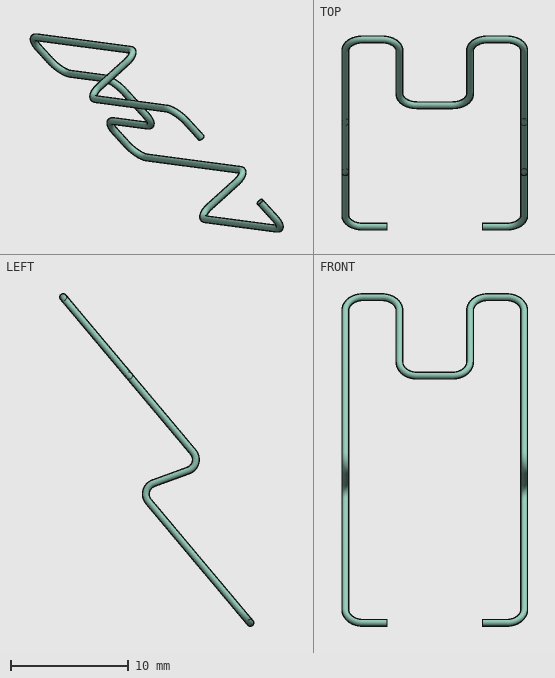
import cadquery as cq
import math

wire_diameter = 0.6
frame_bend_radius = 1.5
jog_bend_radius = 1.0

outer_width = 15.85
frame_width = outer_width - wire_diameter
foot_gap = 8.1
tongue_width = 6.0
tongue_depth = 8.73
upper_leg_length = 18.65
jog_length = 5.98
lower_leg_length = 14.9

leg_slope = math.radians(50)
jog_slope = math.radians(20)

down_leg = cq.Vector(0, -math.cos(leg_slope), -math.sin(leg_slope))
down_jog = cq.Vector(0, math.cos(jog_slope), -math.sin(jog_slope))

top = cq.Vector(0, 0, 0)
tongue_end = top + down_leg * tongue_depth
jog_top = top + down_leg * upper_leg_length
jog_bottom = jog_top + down_jog * jog_length
foot = jog_bottom + down_leg * lower_leg_length

half_corners = [
    (frame_width / 2, foot, frame_bend_radius),
    (frame_width / 2, jog_bottom, jog_bend_radius),
    (frame_width / 2, jog_top, jog_bend_radius),
    (frame_width / 2, top, frame_bend_radius),
    (tongue_width / 2, top, frame_bend_radius),
    (tongue_width / 2, tongue_end, frame_bend_radius),
]


def at_x(x, level):
    return cq.Vector(x, level.y, level.z)


def rounded_path(start, corners, end):
    """Join straight runs with tangent arcs at each (point, radius) corner."""
    points = [start] + [point for point, _ in corners] + [end]
    edges = []
    run_start = start
    for i, (corner, radius) in enumerate(corners, 1):
        back = (points[i - 1] - corner).normalized()
        ahead = (points[i + 1] - corner).normalized()
        half_angle = back.getAngle(ahead) / 2
        setback = radius / math.tan(half_angle)
        arc_start = corner + back * setback
        arc_end = corner + ahead * setback
        bisector = (back + ahead).normalized()
        arc_middle = corner + bisector * (radius / math.sin(half_angle) - radius)
        edges.append(cq.Edge.makeLine(run_start, arc_start))
        edges.append(cq.Edge.makeThreePointArc(arc_start, arc_middle, arc_end))
        run_start = arc_end
    edges.append(cq.Edge.makeLine(run_start, end))
    return cq.Wire.assembleEdges(edges)


left_corners = [(at_x(-x, level), radius) for x, level, radius in half_corners]
right_corners = [(at_x(x, level), radius) for x, level, radius in reversed(half_corners)]
left_tip = at_x(-foot_gap / 2, foot)
right_tip = at_x(foot_gap / 2, foot)
centreline = rounded_path(left_tip, left_corners + right_corners, right_tip)

tip_plane = cq.Plane(origin=left_tip, xDir=(0, 1, 0), normal=(-1, 0, 0))
result = cq.Workplane(tip_plane).circle(wire_diameter / 2).sweep(cq.Workplane(centreline))